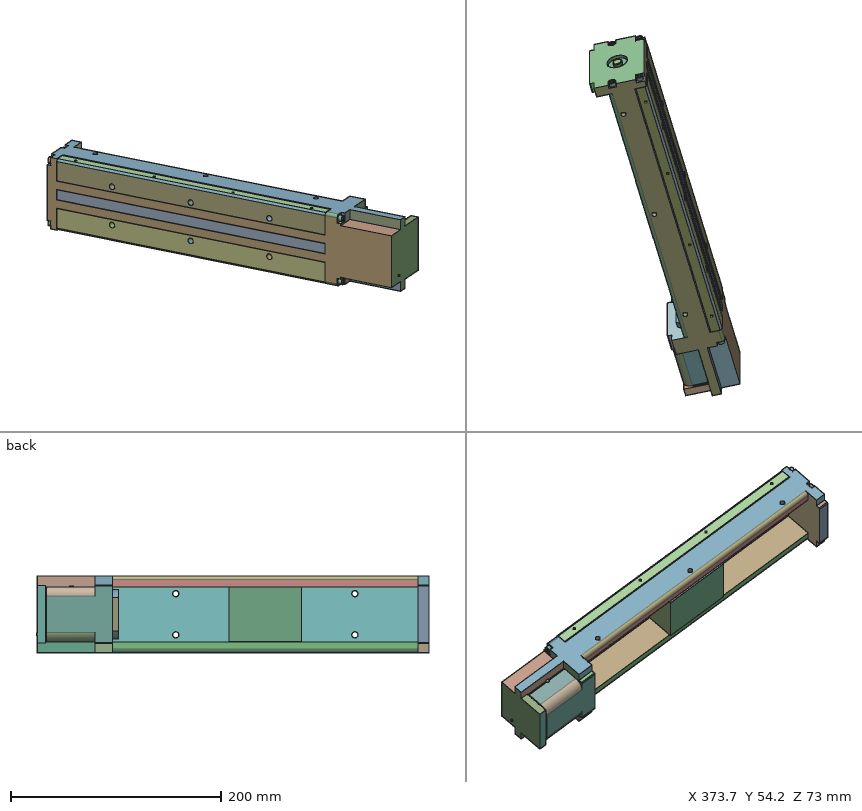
import cadquery as cq


OVERLAP = 0.5

BODY_LENGTH = 373.0
HALF_HEIGHT = 36.5
BODY_DEPTH = 53.5

END_PLATE_THICKNESS = 10.5
FLANGE_START = 301.2
FLANGE_END = 318.0
RAIL_LENGTH = FLANGE_START - END_PLATE_THICKNESS
RAIL_CENTER = (END_PLATE_THICKNESS + FLANGE_START) / 2
PLATE_SHOULDER_DEPTH = 49.0
PLATE_TONGUE_HALF = 27.5
TONGUE_CHAMFER = 0.95
FLANGE_FRONT_FILLET = 2.8

RAIL_DEPTH = 37.5
RAIL_BACK_FILLET = 3.7
CHANNEL_HALF = 26.0
CHANNEL_FLOOR = 9.5

STRIP_PROUD = 0.7
COVER_SPACING = 28.0
STRIP_INNER_EDGE = COVER_SPACING / 2
CENTER_STRIP_HALF = 5.2
COVER_SIDE_DEPTH = 10.5
COVER_INSET = 0.5
COVER_CHAMFER = 2.2
SHOULDER_WIDTH = 1.0

MOUNT_HOLE_DIAMETER = 5.5
HOLE_PITCH = 85.2
MOUNT_HOLE_ROW_SPACING = 39.2
MOUNT_HOLE_OFFSET = MOUNT_HOLE_ROW_SPACING / 2
SIDE_HOLE_DIAMETER = 4.5
SIDE_HOLE_PITCH = 119.5
SIDE_HOLE_Y = 29.0
SIDE_HOLE_DEPTH = 5.5
COVER_HOLE_DIAMETER = 2.2
COVER_HOLE_Y = 5.2
COVER_HOLE_DEPTH = 3.0

SCREW_HEAD_RADIUS = 3.18
SCREW_SLOT_RADIUS = 3.7
SCREW_SOCKET_WIDTH = 3.7
SCREW_SOCKET_DEPTH = 2.0
SCREW_Z = 32.0
SCREW_FRONT_Y = 4.5
SCREW_BACK_Y = 31.5
SCREW_SLOT_DEPTH = 3.7

SHAFT_Y = 26.0
RECESS_DIAMETER = 19.8
RECESS_DEPTH = 3.5
SHAFT_DIAMETER = 9.0
SHAFT_LENGTH = 3.5
SHAFT_CHAMFER = 0.7

BUMPER_RADIUS = 23.5
BUMPER_DEPTH = 43.5
BUMPER_THICKNESS = 5.5

BLOCK_HALF = 26.5
BLOCK_DEPTH = 18.5
BAR_DEPTH = 27.3
MOTOR_HALF = 26.0
MOTOR_FILLET = 9.0
MOTOR_END = 364.0
MOTOR_LEDGE_DEPTH = 28.5
MOTOR_LEDGE_DROP = 0.7
CAP_START = 365.0
CAP_HALF = 27.3
CONNECTOR_X = 340.0
CONNECTOR_RADIUS = 2.0
CONNECTOR_HEIGHT = 0.7
PIN_RADIUS = 1.0
PIN_LENGTH = 0.7
PIN_Y = 14.5
PIN_Z = -19.0

CARRIAGE_LENGTH = 68.8
CARRIAGE_DEPTH = 39.0
CARRIAGE_CLEARANCE = 0.5


def block(x_range, y_range, z_range):
    """Box between two limits on each axis."""
    size = [high - low for low, high in (x_range, y_range, z_range)]
    corner = (x_range[0], y_range[0], z_range[0])
    return cq.Workplane("XY").box(*size, centered=False).translate(corner)


def slab(x_start, x_end, y_start, y_end, half):
    """Box that is symmetric about Z = 0."""
    return block((x_start, x_end), (y_start, y_end), (-half, half))


def x_cylinder(x_start, length, y, z, radius):
    """Cylinder along +X."""
    return cq.Workplane("YZ", origin=(x_start, y, z)).circle(radius).extrude(length)


def z_cylinder(x, y, z_start, length, radius):
    """Cylinder along Z; a negative length runs downwards."""
    return cq.Workplane("XY", origin=(x, y, z_start)).circle(radius).extrude(length)


def spaced(count, pitch):
    """X places of a row of features centred on the rail."""
    return [RAIL_CENTER + (i - (count - 1) / 2) * pitch for i in range(count)]


def make_plate(x_start, x_end):
    """Full-height plate whose back narrows to a chamfered tongue."""
    body = slab(x_start, x_end, 0, PLATE_SHOULDER_DEPTH, HALF_HEIGHT)
    tongue = slab(x_start, x_end, 0, BODY_DEPTH, PLATE_TONGUE_HALF)
    return body.union(tongue.faces(">Y").edges("|X").chamfer(TONGUE_CHAMFER))


def make_flange():
    """Drive flange with rounded front edges."""
    flange = make_plate(FLANGE_START, FLANGE_END)
    return flange.faces("<Y").edges("|X").fillet(FLANGE_FRONT_FILLET)


def make_rail():
    """Channel section with the cover strips on its front."""
    x_start = END_PLATE_THICKNESS
    x_end = FLANGE_START
    rail = slab(x_start, x_end, 0, RAIL_DEPTH, HALF_HEIGHT)
    rail = rail.faces(">Y").edges("|X").fillet(RAIL_BACK_FILLET)
    rail = rail.cut(slab(x_start, x_end, CHANNEL_FLOOR, RAIL_DEPTH, CHANNEL_HALF))

    cover_z = HALF_HEIGHT - COVER_INSET
    chamfer_back = COVER_CHAMFER - STRIP_PROUD
    for side in (-1, 1):
        side_waste = [
            (0, side * HALF_HEIGHT),
            (COVER_SIDE_DEPTH + SHOULDER_WIDTH, side * HALF_HEIGHT),
            (COVER_SIDE_DEPTH, side * cover_z),
            (chamfer_back, side * cover_z),
            (0, side * (cover_z - chamfer_back)),
        ]
        rail = rail.cut(rail_prism(side_waste))
        strip = [
            (0, side * STRIP_INNER_EDGE),
            (-STRIP_PROUD, side * STRIP_INNER_EDGE),
            (-STRIP_PROUD, side * (cover_z - COVER_CHAMFER)),
            (0, side * (cover_z - chamfer_back)),
        ]
        rail = rail.union(rail_prism(strip))
    return rail.union(slab(x_start, x_end, -STRIP_PROUD, OVERLAP, CENTER_STRIP_HALF))


def rail_prism(points):
    """Extrude a (Y, Z) outline over the length of the rail."""
    plane = cq.Workplane("YZ", origin=(END_PLATE_THICKNESS, 0, 0))
    return plane.polyline(points).close().extrude(RAIL_LENGTH)


def make_bumper():
    """Round bumper with a flat back, seated on the flange."""
    x_start = FLANGE_START - BUMPER_THICKNESS
    disc = x_cylinder(x_start, BUMPER_THICKNESS + OVERLAP, SHAFT_Y, 0, BUMPER_RADIUS)
    return disc.intersect(slab(x_start, FLANGE_END, 0, BUMPER_DEPTH, BUMPER_RADIUS))


def make_drive_end():
    """Front block, bar, motor and end cap behind the flange."""
    x_start = FLANGE_END - OVERLAP
    front = slab(x_start, BODY_LENGTH, 0, BLOCK_DEPTH, BLOCK_HALF)
    bar = slab(x_start, BODY_LENGTH, BLOCK_DEPTH, BAR_DEPTH, HALF_HEIGHT)
    motor = slab(x_start, MOTOR_END, MOTOR_LEDGE_DEPTH, BODY_DEPTH, MOTOR_HALF)
    motor = motor.faces(">Y").edges("|X").fillet(MOTOR_FILLET)
    ledge_half = MOTOR_HALF - MOTOR_LEDGE_DROP
    ledge = slab(x_start, CAP_START, BAR_DEPTH, BODY_DEPTH - MOTOR_FILLET, ledge_half)
    cap = slab(CAP_START, BODY_LENGTH, BAR_DEPTH, BODY_DEPTH, CAP_HALF)
    connector_top = MOTOR_HALF + CONNECTOR_HEIGHT
    connector = z_cylinder(CONNECTOR_X, MOTOR_LEDGE_DEPTH, 0, connector_top, CONNECTOR_RADIUS)
    pin = x_cylinder(BODY_LENGTH - OVERLAP, PIN_LENGTH + OVERLAP, PIN_Y, PIN_Z, PIN_RADIUS)
    drive_end = front
    for piece in (bar, motor, ledge, cap, connector, pin):
        drive_end = drive_end.union(piece)
    return drive_end


def add_screw(body, x_outer, inward, y, side, open_front):
    """Cut a slot open to the side (and to the front if asked) and stand a screw head in it.

    x_outer is the plate face, inward the X direction into the plate, side the sign of Z.
    """
    r = SCREW_SLOT_RADIUS
    x_range = sorted((x_outer, x_outer + inward * SCREW_SLOT_DEPTH))
    y_start = 0 if open_front else y - r
    inner_z = SCREW_Z - r if open_front else SCREW_Z
    z_range = sorted((side * inner_z, side * HALF_HEIGHT))
    z = side * SCREW_Z
    body = body.cut(block(x_range, (y_start, y + r), z_range))
    body = body.cut(x_cylinder(x_range[0], SCREW_SLOT_DEPTH, y, z, r))

    head = x_cylinder(x_range[0], SCREW_SLOT_DEPTH, y, z, SCREW_HEAD_RADIUS)
    socket_plane = cq.Workplane("YZ", origin=(x_outer, y, z))
    socket = socket_plane.polygon(6, SCREW_SOCKET_WIDTH).extrude(inward * SCREW_SOCKET_DEPTH)
    return body.union(head).cut(socket)


def add_screws(body):
    """Four screws in the end plate and two in the far face of the flange."""
    for side in (-1, 1):
        body = add_screw(body, 0, 1, SCREW_FRONT_Y, side, True)
        body = add_screw(body, 0, 1, SCREW_BACK_Y, side, False)
        body = add_screw(body, FLANGE_END, -1, SCREW_FRONT_Y, side, True)
    return body


def add_bearing_recess(body):
    """Round recess in the end plate with the chamfered shaft stub inside."""
    body = body.cut(x_cylinder(0, RECESS_DEPTH, SHAFT_Y, 0, RECESS_DIAMETER / 2))
    stub = x_cylinder(RECESS_DEPTH - SHAFT_LENGTH, SHAFT_LENGTH, SHAFT_Y, 0, SHAFT_DIAMETER / 2)
    return body.union(stub.faces("<X").chamfer(SHAFT_CHAMFER))


def cut_mount_holes(body):
    """Two rows of holes through the channel floor."""
    for x in spaced(3, HOLE_PITCH):
        for z in (-MOUNT_HOLE_OFFSET, MOUNT_HOLE_OFFSET):
            plane = cq.Workplane("XZ", origin=(x, -STRIP_PROUD, z))
            hole = plane.circle(MOUNT_HOLE_DIAMETER / 2).extrude(-STRIP_PROUD - CHANNEL_FLOOR)
            body = body.cut(hole)
    return body


def cut_side_holes(body):
    """Blind holes in both side walls and in both cover sides."""
    rows = (
        (spaced(3, SIDE_HOLE_PITCH), SIDE_HOLE_Y, SIDE_HOLE_DIAMETER, SIDE_HOLE_DEPTH),
        (spaced(4, HOLE_PITCH), COVER_HOLE_Y, COVER_HOLE_DIAMETER, COVER_HOLE_DEPTH),
    )
    for places, y, diameter, depth in rows:
        for x in places:
            for side in (-1, 1):
                body = body.cut(z_cylinder(x, y, side * HALF_HEIGHT, -side * depth, diameter / 2))
    return body


def make_housing():
    housing = make_plate(0, END_PLATE_THICKNESS)
    for piece in (make_rail(), make_flange(), make_bumper(), make_drive_end()):
        housing = housing.union(piece)
    housing = add_screws(housing)
    housing = add_bearing_recess(housing)
    housing = cut_mount_holes(housing)
    return cut_side_holes(housing)


def make_carriage():
    """Block that rides on the channel floor at mid-travel."""
    half_length = CARRIAGE_LENGTH / 2
    half_width = CHANNEL_HALF - CARRIAGE_CLEARANCE
    x_start = RAIL_CENTER - half_length
    x_end = RAIL_CENTER + half_length
    return slab(x_start, x_end, CHANNEL_FLOOR, CARRIAGE_DEPTH, half_width)


housing = make_housing()
carriage = make_carriage()

result = cq.Compound.makeCompound([housing.val(), carriage.val()])